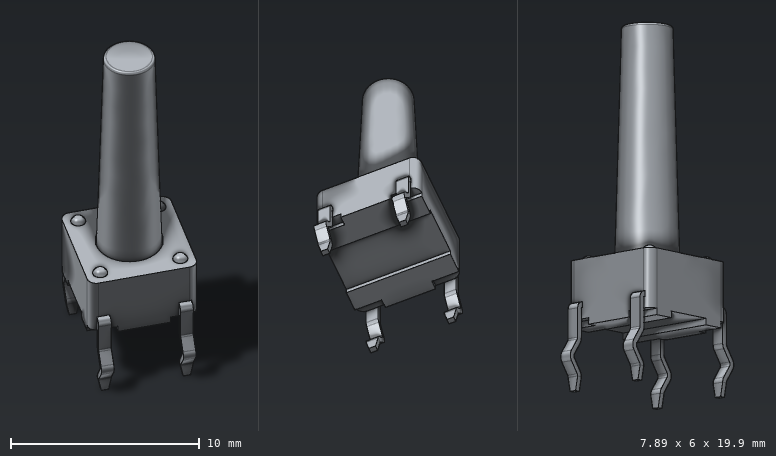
import cadquery as cq
import math


body_side = 6.0
body_height = 3.6
body_corner_radius = 0.5
foot_height = 0.35
slot_width = 2.7
recess_depth = 0.5
recess_gap = 2.9

rivet_diameter = 0.8
rivet_height = 0.3
rivet_pitch = 4.4

actuator_top = 16.3
actuator_tip_diameter = 2.75
actuator_slope = 0.0289
tip_fillet = 0.15
actuator_hole_diameter = 3.6
actuator_hole_depth = 0.3

leg_width = 0.7
leg_thickness = 0.3
leg_pitch = 4.5
leg_span = 7.89
leg_tip_z = -3.55
leg_top_z = 1.27
shoulder_radius = 0.375
bend_outer_radius = 0.5
kink_z = -1.74
kink_angle = math.radians(34.5)
tip_width = 0.4

body_half = body_side / 2
overlap = 0.2


def make_housing():
    housing = (
        cq.Workplane("XY")
        .box(body_side, body_side, body_height, centered=(True, True, False))
        .edges("|Z")
        .fillet(body_corner_radius)
    )
    slot = cq.Workplane("XY").box(slot_width, body_side, foot_height, centered=(True, True, False))
    housing = housing.cut(slot)
    recess_length = (body_side - recess_gap) / 2
    recesses = (
        cq.Workplane("XY")
        .rarray(body_side - recess_depth, body_side - recess_length, 2, 2)
        .rect(recess_depth, recess_length)
        .extrude(foot_height)
    )
    actuator_hole = (
        cq.Workplane("XY", origin=(0, 0, body_height - actuator_hole_depth))
        .circle(actuator_hole_diameter / 2)
        .extrude(actuator_hole_depth)
    )
    return housing.cut(recesses).cut(actuator_hole)


def make_actuator():
    tip_radius = actuator_tip_diameter / 2
    root_z = body_height - actuator_hole_depth - overlap
    root_radius = tip_radius + actuator_slope * (actuator_top - root_z)
    return (
        cq.Workplane("XZ")
        .moveTo(0, root_z)
        .lineTo(root_radius, root_z)
        .lineTo(tip_radius, actuator_top)
        .lineTo(0, actuator_top)
        .close()
        .revolve(360, (0, 0, 0), (0, 1, 0))
        .faces(">Z")
        .edges()
        .fillet(tip_fillet)
    )


def make_rivet_heads():
    rivet_radius = rivet_diameter / 2
    dome_radius = (rivet_radius**2 + rivet_height**2) / (2 * rivet_height)
    dome_centre_z = body_height + rivet_height - dome_radius
    return (
        cq.Workplane("XY", origin=(0, 0, dome_centre_z))
        .rarray(rivet_pitch, rivet_pitch, 2, 2)
        .eachpoint(lambda place: cq.Workplane("XY").sphere(dome_radius).val().moved(place))
    )


def make_leg():
    """Terminal on the +X side, centred on Y = 0."""
    half_thickness = leg_thickness / 2
    leg_x = body_half + shoulder_radius - half_thickness
    bend_radius = bend_outer_radius - half_thickness
    kink_centre_x = leg_span / 2 - bend_outer_radius
    shoulder_bend_radius = shoulder_radius - half_thickness
    shoulder_z = leg_top_z - shoulder_radius
    shoulder_reach = shoulder_bend_radius * math.sqrt(0.5)

    kink_end_x = kink_centre_x + bend_radius * math.cos(kink_angle)
    bend_rise = bend_radius * math.sin(kink_angle)
    corner_rise = bend_rise + (kink_end_x - leg_x) / math.tan(kink_angle)
    knee_far = corner_rise + bend_radius * math.tan(kink_angle / 2)
    knee_near = knee_far - bend_rise
    knee_near_x = leg_x + bend_radius * (1 - math.cos(kink_angle))
    knee_mid = knee_far - bend_radius * math.sin(kink_angle / 2)
    knee_mid_x = leg_x + bend_radius * (1 - math.cos(kink_angle / 2))

    centreline = (
        cq.Workplane("XZ")
        .moveTo(leg_x, leg_tip_z)
        .lineTo(leg_x, kink_z - knee_far)
        .threePointArc((knee_mid_x, kink_z - knee_mid), (knee_near_x, kink_z - knee_near))
        .lineTo(kink_end_x, kink_z - bend_rise)
        .threePointArc((kink_centre_x + bend_radius, kink_z), (kink_end_x, kink_z + bend_rise))
        .lineTo(knee_near_x, kink_z + knee_near)
        .threePointArc((knee_mid_x, kink_z + knee_mid), (leg_x, kink_z + knee_far))
        .lineTo(leg_x, shoulder_z)
        .threePointArc(
            (body_half + shoulder_reach, shoulder_z + shoulder_reach),
            (body_half, shoulder_z + shoulder_bend_radius),
        )
        .lineTo(body_half - overlap, shoulder_z + shoulder_bend_radius)
    )
    strip = (
        cq.Workplane("XY", origin=(leg_x, 0, leg_tip_z))
        .rect(leg_thickness, leg_width)
        .sweep(centreline)
    )

    taper_z = kink_z - knee_far
    face_outline = (
        cq.Workplane("YZ")
        .moveTo(-leg_width / 2, leg_top_z)
        .lineTo(leg_width / 2, leg_top_z)
        .lineTo(leg_width / 2, taper_z)
        .lineTo(tip_width / 2, leg_tip_z)
        .lineTo(-tip_width / 2, leg_tip_z)
        .lineTo(-leg_width / 2, taper_z)
        .close()
        .extrude(leg_span / 2)
    )
    return strip.intersect(face_outline)


def add_legs(switch):
    leg = make_leg()
    for side_turn in (0, 180):
        for y in (-leg_pitch / 2, leg_pitch / 2):
            placed_leg = leg.rotate((0, 0, 0), (0, 0, 1), side_turn).translate((0, y, 0))
            switch = switch.union(placed_leg)
    return switch


switch = make_housing().union(make_actuator()).union(make_rivet_heads())
result = add_legs(switch)